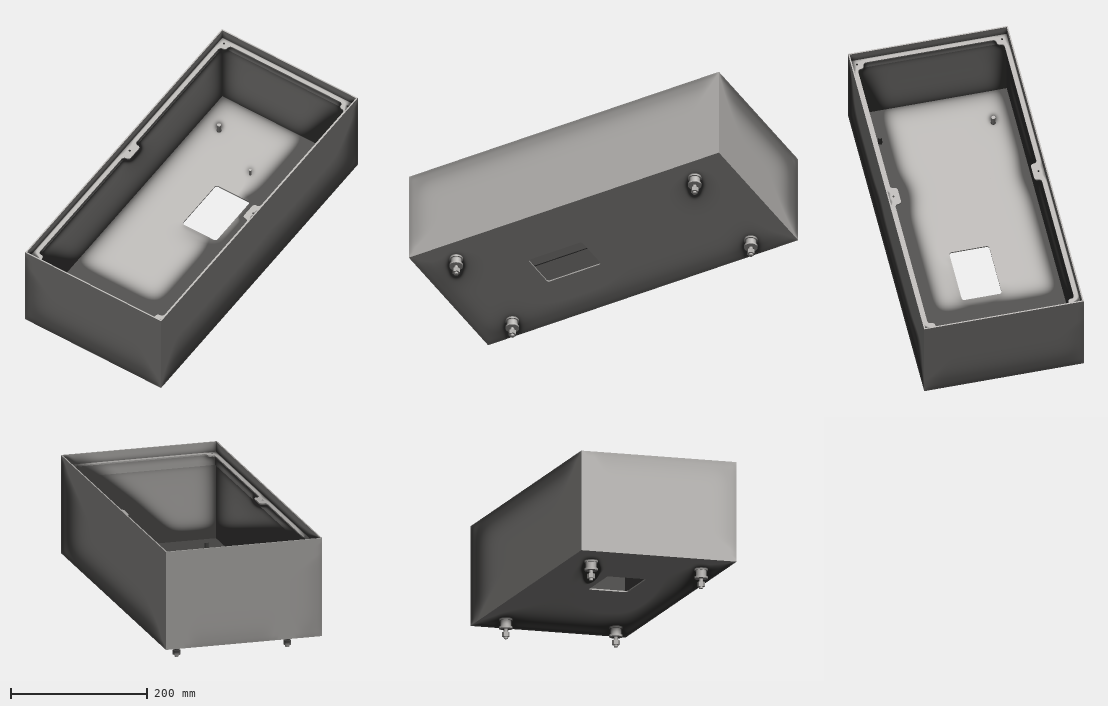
import cadquery as cq

BOX_X = 240.0
BOX_Y = 520.0
BOX_Z = 150.0
SHEET = 2.0
INSIDE_X = BOX_X - 2 * SHEET
INSIDE_Y = BOX_Y - 2 * SHEET

WINDOW_X = 60.0
WINDOW_Y = 90.0
WINDOW_CENTRE_Y = 65.0
WINDOW_CORNER_R = 4.0
PEG_DIAMETER = 4.0
PEG_HEIGHT = 10.0
PEG_Y = 155.0

FRAME_DEPTH = 15.0
FRAME_Z = 20.0
FRAME_BEND_R = 1.5
FRAME_TOP = BOX_Z - FRAME_DEPTH
FRAME_BOTTOM = FRAME_TOP - FRAME_Z
LIP_BOTTOM = FRAME_TOP - SHEET
LIP_INSET = 10.0
OPENING_X = BOX_X - 2 * LIP_INSET
OPENING_Y = BOX_Y - 2 * LIP_INSET

TAB_REACH = 10.0
MIDDLE_TAB_WIDTH = 30.0
TAB_TIP_R = 4.5
TAB_ROOT_R = 5.0
SCREW_HOLE_DIAMETER = 3.3
SCREW_HOLE_INSET = 11.0
SCREW_X = BOX_X / 2 - SCREW_HOLE_INSET
SCREW_Y = BOX_Y / 2 - SCREW_HOLE_INSET

FOOT_X = 85.0
FOOT_Y = 200.0
FOOT_HEIGHT = 15.0
FOOT_FLANGE_DIAMETER = 20.0
FOOT_FLANGE_THICKNESS = 3.0
FOOT_WAIST_DIAMETER = 16.0
STUD_DIAMETER = 6.0
STUD_HOLE_DIAMETER = 8.0
STUD_LENGTH = 15.0
NUT_FLATS = 10.0
NUT_THICKNESS = 7.0
NUT_TURN = 12.0
NUT_GAP = 5.0

FOOT_PLACES = [(x, y) for x in (-FOOT_X, FOOT_X) for y in (-FOOT_Y, FOOT_Y)]


def block(size_x, size_y, bottom, top):
    """Upright block centred on the Z axis between two heights."""
    return cq.Workplane("XY").workplane(offset=bottom).rect(size_x, size_y).extrude(top - bottom)


def cylinder(diameter, bottom, top, centre=(0, 0)):
    """Upright cylinder between two heights."""
    plane = cq.Workplane("XY").workplane(offset=bottom).center(*centre)
    return plane.circle(diameter / 2).extrude(top - bottom)


def make_box():
    """Open box with the floor window, the stud holes and the earthing peg."""
    box = block(BOX_X, BOX_Y, 0, BOX_Z)
    box = box.cut(block(INSIDE_X, INSIDE_Y, SHEET, BOX_Z))
    window = block(WINDOW_X, WINDOW_Y, 0, SHEET).edges("|Z").fillet(WINDOW_CORNER_R)
    box = box.cut(window.translate((0, WINDOW_CENTRE_Y, 0)))
    for place in FOOT_PLACES:
        box = box.cut(cylinder(STUD_HOLE_DIAMETER, 0, SHEET, place))
    return box.union(cylinder(PEG_DIAMETER, SHEET, SHEET + PEG_HEIGHT, (0, PEG_Y)))


def is_tab_root(edge):
    """True where an upright edge lies on the straight outline of the lip, where a tab begins."""
    at = edge.Center()
    half_reach = TAB_REACH / 2
    return abs(at.x) > OPENING_X / 2 - half_reach or abs(at.y) > OPENING_Y / 2 - half_reach


def make_lip_opening():
    """Solid that fills the opening inside the lip, notched around the screw tabs."""
    opening = block(OPENING_X, OPENING_Y, LIP_BOTTOM, FRAME_TOP)
    corner_tab = block(2 * TAB_REACH, 2 * TAB_REACH, LIP_BOTTOM, FRAME_TOP)
    middle_tab = block(2 * TAB_REACH, MIDDLE_TAB_WIDTH, LIP_BOTTOM, FRAME_TOP)
    for x in (-OPENING_X / 2, OPENING_X / 2):
        opening = opening.cut(middle_tab.translate((x, 0, 0)))
        for y in (-OPENING_Y / 2, OPENING_Y / 2):
            opening = opening.cut(corner_tab.translate((x, y, 0)))

    tips = opening.edges("|Z").filter(lambda edge: not is_tab_root(edge)).vals()
    opening = opening.newObject(tips).fillet(TAB_TIP_R)
    return opening.edges("|Z").filter(is_tab_root).fillet(TAB_ROOT_R)


def make_frame():
    """Angle frame with rounded bends, an inward lip and screw holes in the tabs."""
    frame = block(INSIDE_X, INSIDE_Y, FRAME_BOTTOM, FRAME_TOP)
    frame = frame.edges("|Z or >Z").fillet(FRAME_BEND_R)
    frame = frame.cut(block(INSIDE_X - 2 * SHEET, INSIDE_Y - 2 * SHEET, FRAME_BOTTOM, LIP_BOTTOM))
    frame = frame.cut(make_lip_opening())
    for x in (-SCREW_X, SCREW_X):
        for y in (-SCREW_Y, 0, SCREW_Y):
            frame = frame.cut(cylinder(SCREW_HOLE_DIAMETER, LIP_BOTTOM, FRAME_TOP, (x, y)))
    return frame


def make_foot():
    """Waisted foot under the floor with a stud through it, centred on the Z axis."""
    foot = cylinder(FOOT_WAIST_DIAMETER, -FOOT_HEIGHT, 0)
    foot = foot.union(cylinder(FOOT_FLANGE_DIAMETER, -FOOT_FLANGE_THICKNESS, 0))
    foot = foot.union(cylinder(FOOT_FLANGE_DIAMETER, -FOOT_HEIGHT, FOOT_FLANGE_THICKNESS - FOOT_HEIGHT))
    return foot.union(cylinder(STUD_DIAMETER, -FOOT_HEIGHT - STUD_LENGTH, STUD_LENGTH))


def make_nut():
    """Hexagon nut on the lower end of a stud, centred on the Z axis."""
    top = -FOOT_HEIGHT - NUT_GAP
    bottom = top - NUT_THICKNESS
    plane = cq.Workplane("XY").workplane(offset=bottom)
    nut = plane.polygon(6, NUT_FLATS, circumscribed=True).extrude(NUT_THICKNESS)
    nut = nut.cut(cylinder(STUD_DIAMETER, bottom, top))
    return nut.rotate((0, 0, 0), (0, 0, 1), NUT_TURN)


box = make_box()
frame = make_frame()
feet = [make_foot().translate((x, y, 0)) for x, y in FOOT_PLACES]
nuts = [make_nut().translate((x, y, 0)) for x, y in FOOT_PLACES]

result = cq.Compound.makeCompound(
    [box.val(), frame.val()] + [foot.val() for foot in feet] + [nut.val() for nut in nuts]
)